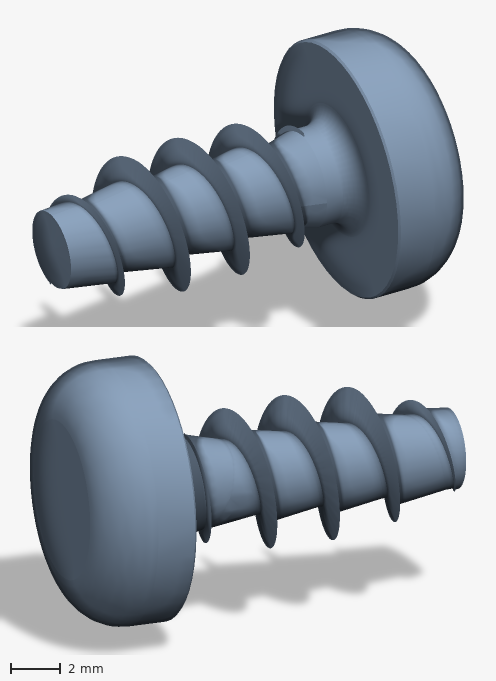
import cadquery as cq
import math

total_length = 16.79
head_diameter = 10.8
head_height = 3.8
head_round = 2.13
head_edge_chamfer = 0.08

shank_radius = 2.03
neck_fillet = 0.75
shank_length = 1.5
core_radius = 1.61
core_taper_length = 1.68
tip_radius = 1.56
tip_taper_length = 0.67
tip_cone_height = 0.05

pitch = 2.69
crest_radius = 3.02
crest_start_radius = 2.18
crest_end_radius = 1.66
thread_half_width = 0.29
root_radius = 1.41
thread_start_depth = 1.46
start_lead = 0.4
lead_in_turns = 0.5
growth_turns = 1.25
fade_start_turn = 3.0
thread_turns = 4.5

ridge_radius = 1.96
ridge_full_turn = 0.5
ridge_fade_turn = 3.5
ridge_gap = 0.02
ridge_sink = 0.02
piece_turns = 0.5
points_per_turn = 24

head_radius = head_diameter / 2
sunk_radius = core_radius - ridge_sink
screw_depth = total_length - head_height
rim_depth = screw_depth - tip_cone_height


def blend(turn, first_turn, last_turn, first_value, last_value):
    """Linear change between two turns, constant outside them."""
    share = (turn - first_turn) / (last_turn - first_turn)
    share = min(max(share, 0.0), 1.0)
    return first_value + share * (last_value - first_value)


def thread_depth(turn):
    """Depth of the thread crest below the bearing face."""
    lead_in = min(turn, lead_in_turns)
    lead_growth = (pitch - start_lead) / lead_in_turns
    lead_in_depth = start_lead * lead_in + lead_growth * lead_in**2 / 2
    return thread_start_depth + lead_in_depth + pitch * (turn - lead_in)


def crest(turn):
    if turn < fade_start_turn:
        return blend(turn, 0, growth_turns, crest_start_radius, crest_radius)
    return blend(turn, fade_start_turn, thread_turns, crest_radius, crest_end_radius)


def winding_section(turn):
    """(radius, depth) corners of the sharp thread and the wedge-shaped core ridge behind it."""
    depth = thread_depth(turn)
    half_width = thread_half_width * (crest(turn) - root_radius) / (crest_radius - root_radius)
    wedge_end = thread_depth(turn + 1) - thread_half_width - ridge_gap
    if turn < ridge_full_turn:
        ridge = blend(turn, 0, ridge_full_turn, sunk_radius, ridge_radius)
    else:
        ridge = blend(turn, ridge_fade_turn, thread_turns, ridge_radius, core_radius)
    flank_share = (crest(turn) - ridge) / (crest(turn) - root_radius)
    return [
        (root_radius, depth - half_width),
        (crest(turn), depth),
        (ridge, depth + half_width * flank_share),
        (sunk_radius, wedge_end),
        (root_radius, wedge_end),
    ]


def helical_solid(section, first_turn, last_turn):
    """Solid whose section corners wind round Y, from +Z through -X."""
    steps = math.ceil((last_turn - first_turn) * points_per_turn)
    paths = [[] for _ in section(first_turn)]
    for step in range(steps + 1):
        turn = first_turn + (last_turn - first_turn) * step / steps
        angle = 2 * math.pi * turn
        for path, (radius, depth) in zip(paths, section(turn)):
            path.append(cq.Vector(-radius * math.sin(angle), -depth, radius * math.cos(angle)))
    edges = [cq.Edge.makeSpline(path) for path in paths]
    faces = []
    for index, edge in enumerate(edges):
        faces.append(cq.Face.makeRuledSurface(edges[index - 1], edge))
    for end in (0, -1):
        corners = [path[end] for path in paths]
        faces.append(cq.Face.makeFromWires(cq.Wire.makePolygon(corners, close=True)))
    solid = cq.Solid.makeSolid(cq.Shell.makeShell(faces))
    return cq.Workplane(solid.fix())


def make_body():
    """Head, filleted neck, shank, core and shallow conical tip as one revolved outline."""
    diagonal = math.sqrt(0.5)
    top_center = (head_radius - head_round, head_height - head_round)
    neck_center = (shank_radius + neck_fillet, -neck_fillet)
    return (
        cq.Workplane("XY")
        .moveTo(0, head_height)
        .lineTo(top_center[0], head_height)
        .threePointArc(
            (top_center[0] + head_round * diagonal, top_center[1] + head_round * diagonal),
            (head_radius, top_center[1]),
        )
        .lineTo(head_radius, head_edge_chamfer)
        .lineTo(head_radius - head_edge_chamfer, 0)
        .lineTo(neck_center[0], 0)
        .threePointArc(
            (neck_center[0] - neck_fillet * diagonal, neck_center[1] + neck_fillet * diagonal),
            (shank_radius, -neck_fillet),
        )
        .lineTo(shank_radius, -shank_length)
        .lineTo(core_radius, -shank_length - core_taper_length)
        .lineTo(core_radius, -rim_depth + tip_taper_length)
        .lineTo(tip_radius, -rim_depth)
        .lineTo(0, -screw_depth)
        .close()
        .revolve(360, (0, 0), (0, 1))
    )


def add_winding(body):
    """Join the winding piece by piece, trimmed where it would run past the tip rim."""
    limit = cq.Workplane("XZ").circle(head_radius).extrude(rim_depth)
    for index in range(round(thread_turns / piece_turns)):
        first_turn = index * piece_turns
        piece = helical_solid(winding_section, first_turn, first_turn + piece_turns)
        if first_turn >= fade_start_turn:
            piece = piece.intersect(limit)
        body = body.union(piece)
    return body


result = add_winding(make_body())